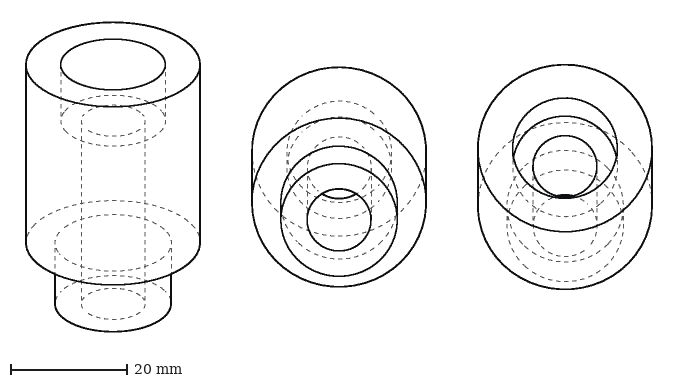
import cadquery as cq

total_height = 47.0
body_diameter = 30.0
spigot_diameter = 20.0
spigot_length = 12.0
counterbore_diameter = 18.0
counterbore_depth = 11.0
through_hole_diameter = 11.0

body_height = total_height - spigot_length


def stepped_sleeve():
    """Narrow spigot at the bottom with the wide body on top of it."""
    spigot = cq.Workplane("XY").circle(spigot_diameter / 2).extrude(spigot_length)
    return spigot.faces(">Z").workplane().circle(body_diameter / 2).extrude(body_height)


result = (
    stepped_sleeve()
    .faces(">Z")
    .workplane()
    .cboreHole(through_hole_diameter, counterbore_diameter, counterbore_depth)
)